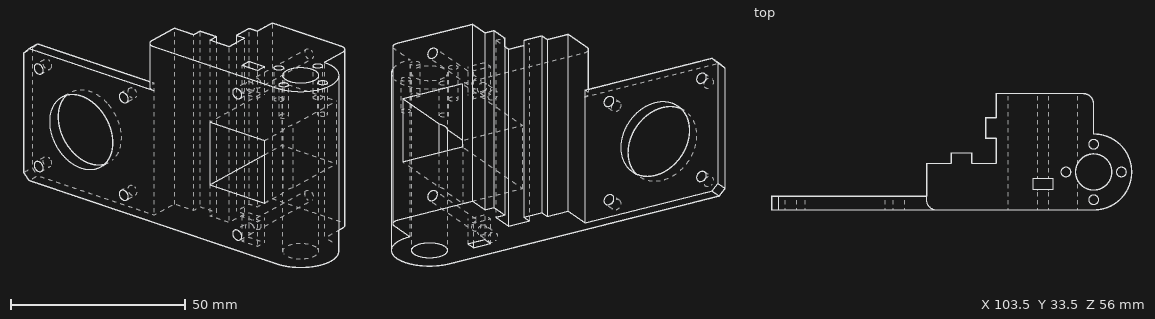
import cadquery as cq

length = 103.5
depth = 33.5
height = 56.0

plate_thickness = 4.0
plate_height = 42.0
plate_chamfer = 2.0
motor_center_x = 21.0
motor_center_z = plate_height / 2
motor_bore_diameter = 23.0
motor_hole_spacing = 31.0
screw_diameter = 3.2

body_left = 44.5
arm_depth = 13.5
tower_left = 64.5
corner_radius = 3.0
rib_width = 6.0
rib_height = 3.0
arm_rib_left = 51.5
tower_rib_front = 20.6

end_radius = 11.0
end_center_x = length - end_radius
rod_bore_diameter = 10.4
pilot_diameter = 2.8
pilot_circle_radius = 8.0
pilot_depth = 10.0
pilot_count = 4

window_size = 20.0
window_center_x = 77.9
window_center_z = height / 2
clamp_screw_heights = (5.0, 50.0)
nut_width = 5.7
nut_thickness = 3.2
nut_front = 5.9


def box(x, y, z, size_x, size_y, size_z):
    """Box placed by its left, front, bottom corner."""
    return cq.Workplane("XY").box(size_x, size_y, size_z, centered=False).translate((x, y, z))


def cross_hole(x, z, diameter):
    """Cutter along Y through the whole depth."""
    return cq.Workplane("XZ", origin=(x, 0, z)).circle(diameter / 2).extrude(-depth)


def make_plate():
    plate = box(0, 0, 0, body_left + corner_radius, plate_thickness, plate_height)
    return plate.edges("|Y and <X").chamfer(plate_chamfer)


def make_body():
    arm = box(body_left, 0, 0, end_center_x - body_left, arm_depth, height)
    arm = arm.edges("|Z and <X and <Y").fillet(corner_radius)
    tower = box(tower_left, 0, 0, end_center_x - tower_left, depth, height)
    tower = tower.edges("|Z and >X and >Y").fillet(corner_radius)
    rounded_end = cq.Workplane("XY").center(end_center_x, end_radius).circle(end_radius).extrude(height)
    arm_rib = box(arm_rib_left, arm_depth, 0, rib_width, rib_height, height)
    tower_rib = box(tower_left - rib_height, tower_rib_front, 0, rib_height, rib_width, height)
    return arm.union(tower).union(rounded_end).union(arm_rib).union(tower_rib)


def cut_motor_holes(part):
    part = part.cut(cross_hole(motor_center_x, motor_center_z, motor_bore_diameter))
    for side_x in (-1, 1):
        for side_z in (-1, 1):
            x = motor_center_x + side_x * motor_hole_spacing / 2
            z = motor_center_z + side_z * motor_hole_spacing / 2
            part = part.cut(cross_hole(x, z, screw_diameter))
    return part


def cut_rod_end(part):
    bore = cq.Workplane("XY").center(end_center_x, end_radius).circle(rod_bore_diameter / 2).extrude(height)
    pilots = (
        cq.Workplane("XY", origin=(end_center_x, end_radius, height))
        .polarArray(pilot_circle_radius, 0, 360, pilot_count)
        .circle(pilot_diameter / 2)
        .extrude(-pilot_depth)
    )
    return part.cut(bore).cut(pilots)


def cut_window(part):
    left = window_center_x - window_size / 2
    bottom = window_center_z - window_size / 2
    return part.cut(box(left, 0, bottom, window_size, depth, window_size))


def cut_clamp_screws(part):
    """Screw holes along Y, each with a nut slot open to the nearest end face."""
    nut_left = window_center_x - nut_width / 2
    low_screw, high_screw = clamp_screw_heights
    low_top = low_screw + nut_width / 2
    high_bottom = high_screw - nut_width / 2
    for z in clamp_screw_heights:
        part = part.cut(cross_hole(window_center_x, z, screw_diameter))
    part = part.cut(box(nut_left, nut_front, 0, nut_width, nut_thickness, low_top))
    return part.cut(box(nut_left, nut_front, high_bottom, nut_width, nut_thickness, height - high_bottom))


result = make_plate().union(make_body())
result = cut_motor_holes(result)
result = cut_rod_end(result)
result = cut_window(result)
result = cut_clamp_screws(result)